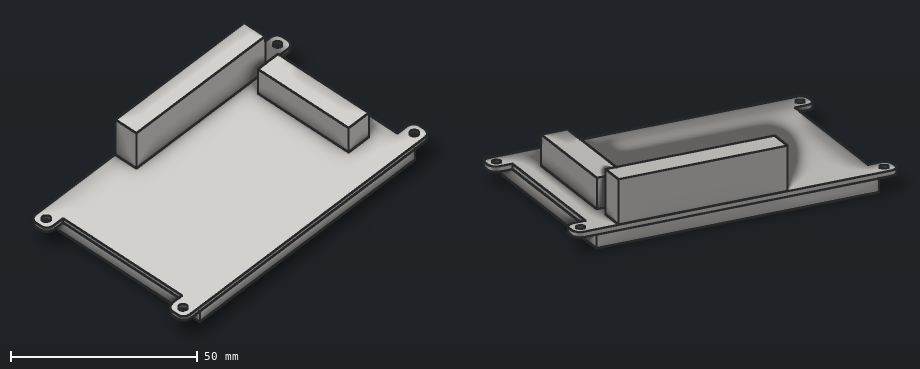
import cadquery as cq

board_width = 56.52
board_length = 97.36
board_thickness = 1.6

hole_diameter = 2.5
hole_spacing_x = 50.0
hole_spacing_y = 91.2

ear_width = board_width - hole_spacing_x
ear_length = 6.2
ear_corner_radius = 2.5

panel_width = board_width
panel_length = board_length - 2 * ear_length
panel_thickness = 4.0

tall_edge_inset = 0.2
tall_width = 7.7
tall_length = 50.8
tall_height = 13.2
tall_back_y = 35.75

low_width = 33.2
low_length = 8.0
low_height = 9.1
low_left_gap = 12.2
low_back_y = 36.2

board_top_z = panel_thickness + board_thickness


def block(left_x, back_y, bottom_z, width, length, height):
    """Box given by its -X, +Y and -Z faces and its size."""
    corner = (left_x, back_y - length, bottom_z)
    return cq.Workplane("XY").box(width, length, height, centered=False).translate(corner)


def make_panel():
    return cq.Workplane("XY").box(panel_width, panel_length, panel_thickness, centered=(True, True, False))


def make_board_plate():
    plate = (
        cq.Workplane("XY", origin=(0, 0, panel_thickness))
        .rect(board_width, board_length)
        .extrude(board_thickness)
    )
    notch_width = board_width - 2 * ear_width
    for end in (-1, 1):
        notch = (
            cq.Workplane("XY", origin=(0, 0, panel_thickness))
            .center(0, end * board_length / 2)
            .rect(notch_width, 2 * ear_length)
            .extrude(board_thickness)
        )
        plate = plate.cut(notch)
    plate = plate.faces("<Y or >Y").edges("|Z").fillet(ear_corner_radius)
    holes = (
        cq.Workplane("XY", origin=(0, 0, panel_thickness))
        .rect(hole_spacing_x, hole_spacing_y, forConstruction=True)
        .vertices()
        .circle(hole_diameter / 2)
        .extrude(board_thickness)
    )
    return plate.cut(holes)


def make_board():
    """Board with its two connectors as one solid."""
    left_x = -board_width / 2
    tall_connector = block(
        left_x + tall_edge_inset, tall_back_y, board_top_z, tall_width, tall_length, tall_height
    )
    low_connector = block(
        left_x + low_left_gap, low_back_y, board_top_z, low_width, low_length, low_height
    )
    return make_board_plate().union(tall_connector).union(low_connector)


panel = make_panel()
board = make_board()

result = cq.Compound.makeCompound([panel.val(), board.val()])